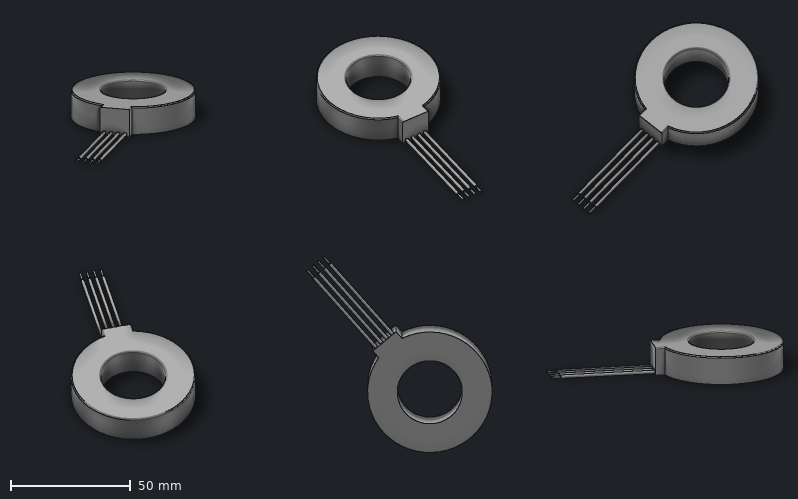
import cadquery as cq

ring_diameter = 52.0
bore_diameter = 27.0
body_height = 12.0
edge_fillet = 0.5

tab_width = 12.9
overall_length = 99.0
tab_end_y = -29.0

lead_count = 4
lead_pitch = 3.0
insulation_diameter = 1.6
core_diameter = 1.0
core_bare_length = 4.0
lead_axis_z = 1.0
lead_embed = 1.0

lead_tip_y = ring_diameter / 2 - overall_length
insulation_end_y = lead_tip_y + core_bare_length
lead_root_y = tab_end_y + lead_embed


def make_body():
    """Ring with its lead exit, rounded along the top edges except the flat tab end."""
    ring = cq.Workplane("XY").circle(ring_diameter / 2).extrude(body_height)
    tab = (
        cq.Workplane("XY")
        .center(0, tab_end_y / 2)
        .rect(tab_width, -tab_end_y)
        .extrude(body_height)
    )
    body = ring.union(tab)
    bore = cq.Workplane("XY").circle(bore_diameter / 2).extrude(body_height)
    body = body.cut(bore)
    tab_end_edge = cq.selectors.DirectionMinMaxSelector(cq.Vector(0, 1, 0), False)
    top_edges = body.faces(">Z").edges()
    rounded = top_edges.edges(cq.selectors.InverseSelector(tab_end_edge))
    return rounded.fillet(edge_fillet)


def make_rod(x, diameter, end_y):
    """Round rod along -Y from inside the tab to end_y."""
    return (
        cq.Workplane("XZ", origin=(x, lead_root_y, lead_axis_z))
        .circle(diameter / 2)
        .extrude(lead_root_y - end_y)
    )


result = make_body()
for index in range(lead_count):
    lead_x = (index - (lead_count - 1) / 2) * lead_pitch
    result = result.union(make_rod(lead_x, insulation_diameter, insulation_end_y))
    result = result.union(make_rod(lead_x, core_diameter, lead_tip_y))